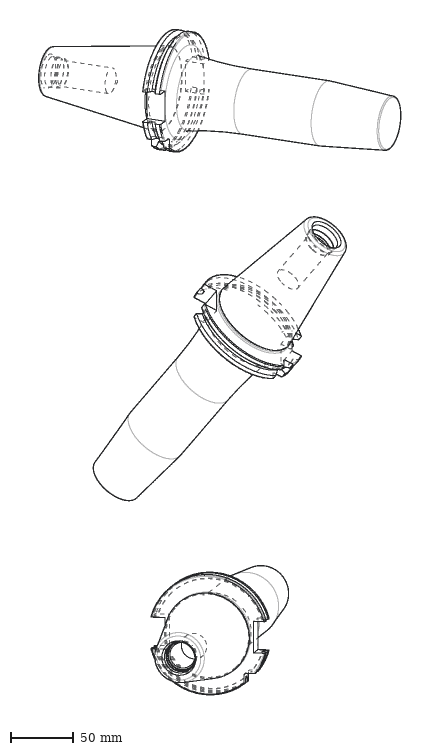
import cadquery as cq
import math


GAUGE_RADIUS = 69.85 / 2
TAPER_LENGTH = 101.6
TAPER_SLOPE = 7 / 48
TAPER_END_ROUND = 2.5
RELIEF_DEPTH = 0.8
RELIEF_ROUND = 1.0

FLANGE_START = 3.2
FLANGE_END = 19.1
FLANGE_RADIUS = 97.5 / 2
FLANGE_EDGE_ROUND = 0.8
GROOVE_CENTER = 11.15
GROOVE_WIDTH = 7.0
GROOVE_DEPTH = 3.8
GROOVE_HALF_ANGLE = math.radians(30)

SLOT_WIDTH = 25.7
SLOT_FLOOR_PLUS_Y = 35.3
SLOT_FLOOR_MINUS_Y = 37.7
NOTCH_OFFSET = 29.8
NOTCH_CORNER_ROUND = 1.5

NOSE_LENGTH = 200.0
BODY_RADIUS = 53.0 / 2
TIP_RADIUS = 44.0 / 2
TIP_CONE_ANGLE = math.radians(4.5)
TIP_ROUND = 1.0
NECK_END = 74.5
NECK_SWEEP_RADIUS = 300.0
NECK_FILLET = 8.0

MOUTH_RADIUS = 14.0
PILOT_RADIUS = 12.5
PILOT_DEPTH = 8.0
RECESS_RADIUS = 12.0
RECESS_DEPTH = 12.0
SHOULDER_RADIUS = 11.5
CORE_RADIUS = 10.4
CORE_DEPTH = 55.0
COUNTERSINK_HALF_ANGLE = math.radians(30)
DRILL_HALF_ANGLE = math.radians(59)

COS_45 = math.cos(math.radians(45))


def make_body():
    """Solid of revolution: taper, relief, neck and nose."""
    small_end_radius = GAUGE_RADIUS - TAPER_LENGTH * TAPER_SLOPE
    relief_radius = GAUGE_RADIUS - RELIEF_DEPTH

    fillet_x = FLANGE_END + NECK_FILLET
    sweep_y = BODY_RADIUS + NECK_SWEEP_RADIUS
    center_distance = NECK_SWEEP_RADIUS - NECK_FILLET
    lean = math.asin((NECK_END - fillet_x) / center_distance)
    fillet_y = sweep_y - center_distance * math.cos(lean)
    fillet_mid_angle = (math.pi / 2 + lean) / 2

    def sweep_point(angle):
        return (NECK_END - NECK_SWEEP_RADIUS * math.sin(angle), sweep_y - NECK_SWEEP_RADIUS * math.cos(angle))

    fillet_mid = (
        fillet_x - NECK_FILLET * math.sin(fillet_mid_angle),
        fillet_y - NECK_FILLET * math.cos(fillet_mid_angle),
    )
    cone_start = NOSE_LENGTH - (BODY_RADIUS - TIP_RADIUS) / math.tan(TIP_CONE_ANGLE)
    relief_mid = (
        FLANGE_START - RELIEF_ROUND * (1 - COS_45),
        relief_radius + RELIEF_ROUND * (1 - COS_45),
    )

    profile = (
        cq.Workplane("XY")
        .moveTo(-TAPER_LENGTH, 0)
        .lineTo(-TAPER_LENGTH, small_end_radius)
        .lineTo(0, GAUGE_RADIUS)
        .lineTo(RELIEF_DEPTH, relief_radius)
        .lineTo(FLANGE_START - RELIEF_ROUND, relief_radius)
        .threePointArc(relief_mid, (FLANGE_START, relief_radius + RELIEF_ROUND))
        .lineTo(FLANGE_END, fillet_y)
        .threePointArc(fillet_mid, sweep_point(lean))
        .threePointArc(sweep_point(lean / 2), (NECK_END, BODY_RADIUS))
        .lineTo(cone_start, BODY_RADIUS)
        .lineTo(NOSE_LENGTH, TIP_RADIUS)
        .lineTo(NOSE_LENGTH, 0)
        .close()
    )
    body = profile.revolve(360, (0, 0, 0), (1, 0, 0))
    body = body.faces("<X").edges().fillet(TAPER_END_ROUND)
    return body.faces(">X").edges().fillet(TIP_ROUND)


def make_flange_disc():
    """Full disc of the flange with both rims rounded."""
    disc = cq.Workplane("YZ", origin=(FLANGE_START, 0, 0)).circle(FLANGE_RADIUS)
    return disc.extrude(FLANGE_END - FLANGE_START).edges("%CIRCLE").fillet(FLANGE_EDGE_ROUND)


def make_gripper_groove():
    """Ring with a flat-bottomed V section, running round the flange."""
    floor_half = GROOVE_WIDTH / 2 - GROOVE_DEPTH * math.tan(GROOVE_HALF_ANGLE)
    floor_radius = FLANGE_RADIUS - GROOVE_DEPTH
    return (
        cq.Workplane("XY")
        .moveTo(GROOVE_CENTER - floor_half, floor_radius)
        .lineTo(GROOVE_CENTER + floor_half, floor_radius)
        .lineTo(GROOVE_CENTER + GROOVE_WIDTH / 2, FLANGE_RADIUS)
        .lineTo(GROOVE_CENTER - GROOVE_WIDTH / 2, FLANGE_RADIUS)
        .close()
        .revolve(360, (0, 0, 0), (1, 0, 0))
    )


def flange_block(y_near, y_far, z_low, z_high):
    """Box through the relief, flange and neck fillet, spanning the given Y and Z ranges."""
    x_end = FLANGE_END + NECK_FILLET
    size = (x_end, abs(y_far - y_near), z_high - z_low)
    center = (x_end / 2, (y_near + y_far) / 2, (z_low + z_high) / 2)
    return cq.Workplane("XY").box(*size).translate(center)


def make_drive_slot(floor_y):
    """Drive slot open to the rim on the side of floor_y."""
    rim_y = math.copysign(FLANGE_RADIUS, floor_y)
    return flange_block(floor_y, rim_y, -SLOT_WIDTH / 2, SLOT_WIDTH / 2)


def make_orientation_notch():
    """Corner notch in the -Y, -Z quarter of the flange, rounded at its inner corner."""
    notch = flange_block(-NOTCH_OFFSET, -FLANGE_RADIUS, -FLANGE_RADIUS, -NOTCH_OFFSET)
    return notch.edges("|X and >Y and >Z").fillet(NOTCH_CORNER_ROUND)


def make_drawbar_bore():
    """Countersunk pilot, recess with a 45-degree shoulder, and core bore with a drill-point bottom."""
    countersink_depth = (MOUTH_RADIUS - PILOT_RADIUS) / math.tan(COUNTERSINK_HALF_ANGLE)
    drill_point = CORE_RADIUS / math.tan(DRILL_HALF_ANGLE)
    outline = [
        (0, 0),
        (0, MOUTH_RADIUS),
        (countersink_depth, PILOT_RADIUS),
        (PILOT_DEPTH, PILOT_RADIUS),
        (PILOT_DEPTH, RECESS_RADIUS),
        (RECESS_DEPTH, RECESS_RADIUS),
        (RECESS_DEPTH, SHOULDER_RADIUS),
        (RECESS_DEPTH + SHOULDER_RADIUS - CORE_RADIUS, CORE_RADIUS),
        (CORE_DEPTH, CORE_RADIUS),
        (CORE_DEPTH + drill_point, 0),
    ]
    bore = cq.Workplane("XY").polyline(outline).close().revolve(360, (0, 0, 0), (1, 0, 0))
    return bore.translate((-TAPER_LENGTH, 0, 0))


result = make_body().union(make_flange_disc())
result = result.cut(make_gripper_groove())
result = result.cut(make_drive_slot(SLOT_FLOOR_PLUS_Y))
result = result.cut(make_drive_slot(-SLOT_FLOOR_MINUS_Y))
result = result.cut(make_orientation_notch())
result = result.cut(make_drawbar_bore())